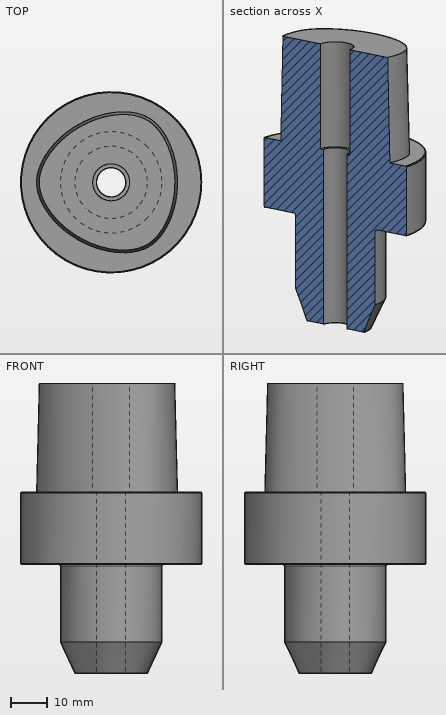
import cadquery as cq
import math

FLANGE_BOTTOM = 30.0
FLANGE_TOP = 50.0
TOTAL_HEIGHT = 80.0

PILOT_RADIUS = 14.0
PILOT_TIP_RADIUS = 10.0
LEAD_IN_ANGLE = 25.0
LEAD_IN_HEIGHT = (PILOT_RADIUS - PILOT_TIP_RADIUS) / math.tan(math.radians(LEAD_IN_ANGLE))
PILOT_ROOT_FILLET = 0.5

FLANGE_RADIUS = 25.0
FLANGE_CHAMFER = 0.25

SHANK_TOP_MEAN_RADIUS = 18.7
SHANK_TAPER = 1.0 / 20.0
SHANK_HEIGHT = TOTAL_HEIGHT - FLANGE_TOP
SHANK_BASE_MEAN_RADIUS = SHANK_TOP_MEAN_RADIUS + SHANK_TAPER * SHANK_HEIGHT / 2.0
LOBE_COUNT = 3
LOBE_AMPLITUDE = 1.13
FIRST_LOBE_ANGLE = math.pi
OUTLINE_SAMPLES = 72

BORE_RADIUS = 4.0
COUNTERBORE_RADIUS = 5.1
COUNTERBORE_DEPTH = SHANK_HEIGHT


def lobed_point(mean_radius, turn):
    """Point on the lobed outline whose outward normal is `turn` radians past the first lobe."""
    support = mean_radius + LOBE_AMPLITUDE * math.cos(LOBE_COUNT * turn)
    support_slope = -LOBE_COUNT * LOBE_AMPLITUDE * math.sin(LOBE_COUNT * turn)
    normal = FIRST_LOBE_ANGLE + turn
    x = support * math.cos(normal) - support_slope * math.sin(normal)
    y = support * math.sin(normal) + support_slope * math.cos(normal)
    return x, y


def lobed_wire(mean_radius, height):
    """Closed lobed outline at the given height."""
    turns = [2.0 * math.pi * step / OUTLINE_SAMPLES for step in range(OUTLINE_SAMPLES)]
    points = [cq.Vector(*lobed_point(mean_radius, turn), height) for turn in turns]
    edge = cq.Edge.makeSpline(points, periodic=True)
    return cq.Wire.assembleEdges([edge])


def make_pilot():
    """Pilot with its lead-in cone and the flared fillet where it meets the flange."""
    fillet_start = FLANGE_BOTTOM - PILOT_ROOT_FILLET
    fillet_outer = PILOT_RADIUS + PILOT_ROOT_FILLET
    fillet_inset = PILOT_ROOT_FILLET * (1.0 - math.sqrt(0.5))
    fillet_middle = (PILOT_RADIUS + fillet_inset, FLANGE_BOTTOM - fillet_inset)
    return (
        cq.Workplane("XZ")
        .lineTo(PILOT_TIP_RADIUS, 0)
        .lineTo(PILOT_RADIUS, LEAD_IN_HEIGHT)
        .lineTo(PILOT_RADIUS, fillet_start)
        .threePointArc(fillet_middle, (fillet_outer, FLANGE_BOTTOM))
        .lineTo(0, FLANGE_BOTTOM)
        .close()
        .revolve(360, (0, 0, 0), (0, 1, 0))
    )


def make_flange():
    """Disc with both rims chamfered."""
    return (
        cq.Workplane("XY", origin=(0, 0, FLANGE_BOTTOM))
        .circle(FLANGE_RADIUS)
        .extrude(FLANGE_TOP - FLANGE_BOTTOM)
        .edges("%CIRCLE")
        .chamfer(FLANGE_CHAMFER)
    )


def make_shank():
    """Lobed shank, narrowing evenly all round towards the top."""
    base = lobed_wire(SHANK_BASE_MEAN_RADIUS, FLANGE_TOP)
    top = lobed_wire(SHANK_TOP_MEAN_RADIUS, TOTAL_HEIGHT)
    return cq.Workplane("XY").add(cq.Solid.makeLoft([base, top], True))


def make_bore():
    """Through bore, widened over the height of the shank."""
    through = cq.Workplane("XY").circle(BORE_RADIUS).extrude(TOTAL_HEIGHT)
    counterbore = (
        cq.Workplane("XY", origin=(0, 0, TOTAL_HEIGHT))
        .circle(COUNTERBORE_RADIUS)
        .extrude(-COUNTERBORE_DEPTH)
    )
    return through.union(counterbore)


result = make_pilot().union(make_flange()).union(make_shank()).cut(make_bore())